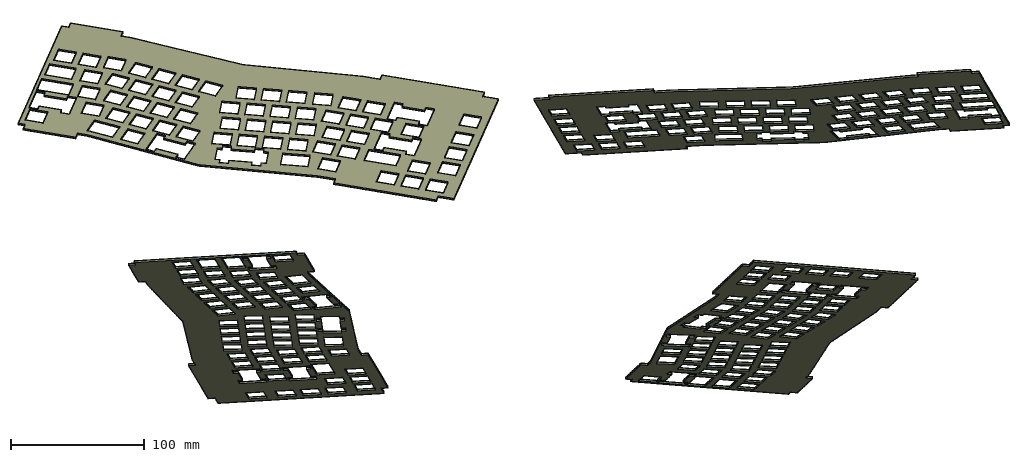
import cadquery as cq
import math

LENGTH = 339.2
WIDTH = 142.0
THICKNESS = 1.5

SIDE_TOP = 65.8
LEFT_BOTTOM = -57.5
RIGHT_BOTTOM = -60.7
TAB_HEIGHT = WIDTH / 2 - SIDE_TOP
LEFT_TAB = (-164.2, -123.5)
RIGHT_TAB = (77.7, 157.5)
BEND_X = -25.8
BEND_REACH = 90.2
BEND_TOP = 56.0

KEYS_PER_LENGTH = 17.8
PITCH = LENGTH / KEYS_PER_LENGTH
TILT = 8.0

SWITCH = 14.0
STABILIZER_SPACING = 24.5
LEG_WIDTH = 6.8
LEG_HEIGHT = 21.0
CUT_DEPTH = 2 * THICKNESS
STABILIZER_SLOT = STABILIZER_SPACING + LEG_WIDTH

KEY = (1, SWITCH, False)
KEY_150 = (1.5, SWITCH, False)
SLOT_150 = (1.5, 20.7, False)
SLOT_175 = (1.75, 24.8, False)
STABILIZED_200 = (2, STABILIZER_SLOT, True)
STABILIZED_225 = (2.25, STABILIZER_SLOT, True)
STABILIZED_275 = (2.75, 38.5, True)

STRAIGHT_ROW_COUNT = 5
FIRST_ROW_Y = 31.0
ROW_Y = [FIRST_ROW_Y - row * PITCH for row in range(STRAIGHT_ROW_COUNT)]
RAISED_KEY_Y = 32.0

NAVIGATION_X = 156.5
NAVIGATION_TOP_Y = 34.3
ARROW_X = 115.0
ARROW_Y = -49.2

LEFT_STRAIGHT_ROWS = [
    (-157.5, ROW_Y[0], 0, [KEY, KEY]),
    (-119.0, RAISED_KEY_Y, 0, [KEY]),
    (-155.7, ROW_Y[1], 0, [SLOT_150, KEY]),
    (-154.7, ROW_Y[2], 0, [SLOT_175, KEY]),
    (-151.3, ROW_Y[3], 0, [STABILIZED_225, KEY]),
    (-158.7, ROW_Y[4], 0, [KEY]),
]
LEFT_TILTED_ROWS = [
    (-98.5, 29.5, -TILT, [KEY] * 4),
    (-111.5, 12.0, -TILT, [KEY] * 4),
    (-107.5, -8.0, -TILT, [KEY] * 4),
    (-100.0, -28.5, -TILT, [KEY] * 4),
    (-106.0, -47.0, -TILT, [SLOT_150, KEY, STABILIZED_225]),
]
RIGHT_TILTED_ROWS = [
    (-14.5, 23.0, TILT, [KEY] * 3),
    (42.7, 31.0, TILT, [KEY]),
    (-21.7, 2.7, TILT, [KEY] * 4),
    (-16.3, -16.0, TILT, [KEY] * 4),
    (-17.3, -35.5, TILT, [KEY] * 4),
    (2.5, -52.0, TILT, [STABILIZED_275, SLOT_150]),
]
RIGHT_STRAIGHT_ROWS = [
    (63.5, ROW_Y[0], 0, [KEY, KEY, STABILIZED_200]),
    (55.5, ROW_Y[1], 0, [KEY, KEY, KEY, KEY_150]),
    (61.5, ROW_Y[2], 0, [KEY, KEY, STABILIZED_225]),
    (59.5, ROW_Y[3], 0, [KEY, KEY, SLOT_175]),
    (68.5, ROW_Y[4], 0, [KEY]),
]
END_ROWS = [
    (NAVIGATION_X, NAVIGATION_TOP_Y, 0, [KEY]),
    (NAVIGATION_X, ROW_Y[1], 0, [KEY]),
    (NAVIGATION_X, ROW_Y[2], 0, [KEY]),
    (NAVIGATION_X, ROW_Y[3], 0, [KEY]),
    (ARROW_X + PITCH, ARROW_Y + PITCH, 0, [KEY]),
    (ARROW_X, ARROW_Y, 0, [KEY] * 3),
]


def tab(x_range, base_y, height):
    """Corner points of a tab standing on base_y, from its left to its right side."""
    left, right = x_range
    return [(left, base_y), (left, base_y + height), (right, base_y + height), (right, base_y)]


def make_plate():
    """Solid plate, centred on the origin."""
    slope_left = BEND_X - BEND_REACH
    slope_right = BEND_X + BEND_REACH
    top_edge = (
        [(-LENGTH / 2, SIDE_TOP)]
        + tab(LEFT_TAB, SIDE_TOP, TAB_HEIGHT)
        + [(slope_left, SIDE_TOP), (BEND_X, BEND_TOP), (slope_right, SIDE_TOP)]
        + tab(RIGHT_TAB, SIDE_TOP, TAB_HEIGHT)
        + [(LENGTH / 2, SIDE_TOP)]
    )
    bottom_edge = (
        [(-LENGTH / 2, LEFT_BOTTOM)]
        + tab(LEFT_TAB, LEFT_BOTTOM, -TAB_HEIGHT)
        + [(slope_left, LEFT_BOTTOM), (BEND_X, -WIDTH / 2), (slope_right, RIGHT_BOTTOM)]
        + tab(RIGHT_TAB, RIGHT_BOTTOM, -TAB_HEIGHT)
        + [(LENGTH / 2, RIGHT_BOTTOM)]
    )
    outline = top_edge + bottom_edge[::-1]
    return cq.Workplane("XY").polyline(outline).close().extrude(THICKNESS / 2, both=True)


def key_cutter(slot_length, has_legs):
    """Cutter for one key at the origin: a slot, with two taller legs for a stabilizer."""
    cutter = cq.Workplane("XY").box(slot_length, SWITCH, CUT_DEPTH)
    if has_legs:
        legs = (
            cq.Workplane("XY")
            .pushPoints([(-STABILIZER_SPACING / 2, 0), (STABILIZER_SPACING / 2, 0)])
            .box(LEG_WIDTH, LEG_HEIGHT, CUT_DEPTH)
        )
        cutter = cutter.union(legs)
    return cutter


def row_cutters(first_x, first_y, tilt, kinds):
    """Cutters for a row of touching keys that runs along a tilted line."""
    cutters = []
    direction = math.radians(tilt)
    along = 0.0
    previous_units = None
    for units, slot_length, has_legs in kinds:
        if previous_units is not None:
            along += (previous_units + units) / 2 * PITCH
        previous_units = units
        position = (first_x + along * math.cos(direction), first_y + along * math.sin(direction), 0)
        cutter = key_cutter(slot_length, has_legs).rotate((0, 0, 0), (0, 0, 1), tilt)
        cutters.append(cutter.translate(position).val())
    return cutters


rows = LEFT_STRAIGHT_ROWS + LEFT_TILTED_ROWS + RIGHT_TILTED_ROWS + RIGHT_STRAIGHT_ROWS + END_ROWS
all_cutters = []
for row in rows:
    all_cutters += row_cutters(*row)

result = cq.Workplane("XY").newObject([make_plate().val().cut(*all_cutters)])